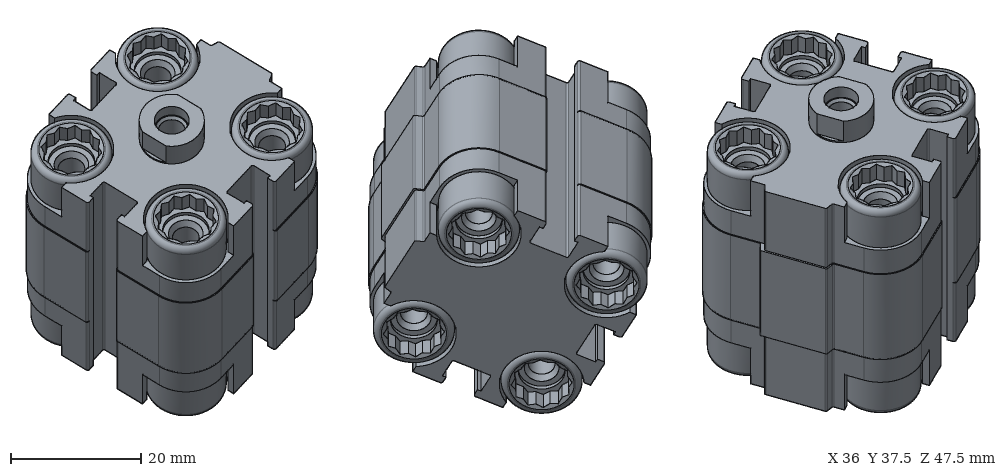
import cadquery as cq
import math

TOTAL_HEIGHT = 47.5
BODY_HEIGHT = 43.0
CAP_HEIGHT = 12.5
TUBE_HEIGHT = BODY_HEIGHT - 2 * CAP_HEIGHT
TUBE_HALF_WIDTH = 18.0
CAP_INSET = 0.2
CAP_HALF_WIDTH = TUBE_HALF_WIDTH - CAP_INSET
CORNER_OFFSET = 11.0

RAIL_TIP_Y = 19.48
RAIL_ROOT_HALF_WIDTH = 6.05
RAIL_TIP_HALF_WIDTH = 5.55
RAIL_FILLET = 0.3
CAP_RAIL_TIP_INSET = 0.3
CAP_RAIL_NARROWING = 0.65

SLOT_OPENING = 5.4
SLOT_WIDTH = 6.65
SLOT_LIP_DEPTH = 16.45
SLOT_FLOOR_DEPTH = 13.0
SLOT_FLOOR_FILLET = 0.3
LIP_FILLET = 0.4

POCKET_DEPTH = 7.5
POCKET_EDGE = 7.8
POCKET_DIAMETER = 13.0
LUG_DIAMETER = 12.5
LUG_FILLET = 1.0

SOCKET_RIM_DIAMETER = 10.0
SOCKET_RIM_DEPTH = 0.35
SOCKET_ACROSS_FLATS = 8.1
SOCKET_DEPTH = 3.32
RECESS_DIAMETER = 7.2
RECESS_DEPTH = 4.05
SEAT_DIAMETER = 5.3
SEAT_ANGLE = 60.0
SCREW_HOLE_DIAMETER = 4.15

ROD_DIAMETER = 10.0
ROD_FLAT_WIDTH = 9.0
ROD_COLLAR_HEIGHT = 0.3
ROD_BOTTOM = BODY_HEIGHT - CAP_HEIGHT
ROD_COUNTERBORE_DIAMETER = 5.3
ROD_COUNTERBORE_DEPTH = 2.2
ROD_LEDGE_DIAMETER = 5.0
ROD_COUNTERSINK_ANGLE = 90.0
ROD_HOLE_DIAMETER = 4.15
ROD_HOLE_DEPTH = 10.92
DRILL_ANGLE = 118.0


def cone_height(large_diameter, small_diameter, included_angle):
    """Height of a cone frustum with the given included angle."""
    return (large_diameter - small_diameter) / 2 / math.tan(math.radians(included_angle / 2))


def revolved(points):
    """Solid of revolution about Z from (radius, height) points."""
    return cq.Workplane("XZ").polyline(points).close().revolve(360, (0, 0), (0, 1))


def at_corners(shape):
    """List of four copies of a shape made at the centre, one on each corner axis."""
    return [
        shape.translate((x, y, 0))
        for x in (-CORNER_OFFSET, CORNER_OFFSET)
        for y in (-CORNER_OFFSET, CORNER_OFFSET)
    ]


def at_both_ends(shapes):
    """Shapes made at the top end together with their mirror images at the bottom end."""
    return shapes + [shape.mirror("XY", (0, 0, BODY_HEIGHT / 2)) for shape in shapes]


def rounded_block(half_width, bottom, height):
    """Square prism whose corners are concentric with the corner axes."""
    block = cq.Workplane().workplane(offset=bottom).rect(2 * half_width, 2 * half_width).extrude(height)
    return block.edges("|Z").fillet(half_width - CORNER_OFFSET)


def railed_block(half_width, tip_y, left_inset, right_inset, bottom, height):
    """Rounded block with a trapezoidal rail on its +Y side, each flank moved in by its inset."""
    left_root = left_inset - RAIL_ROOT_HALF_WIDTH
    right_root = RAIL_ROOT_HALF_WIDTH - right_inset
    outline = [
        (left_root, SLOT_LIP_DEPTH),
        (left_root, half_width),
        (left_inset - RAIL_TIP_HALF_WIDTH, tip_y),
        (RAIL_TIP_HALF_WIDTH - right_inset, tip_y),
        (right_root, half_width),
        (right_root, SLOT_LIP_DEPTH),
    ]
    rail = cq.Workplane().workplane(offset=bottom).polyline(outline).close().extrude(height)
    rail = rail.faces(">Y").edges("|Z").fillet(RAIL_FILLET)
    block = rounded_block(half_width, bottom, height).union(rail)
    middle = bottom + height / 2
    for root in (left_root, right_root):
        root_corner = cq.selectors.NearestToPointSelector((root, half_width, middle))
        block = block.edges("|Z").edges(root_corner).fillet(RAIL_FILLET)
    return block


def tube_section():
    return railed_block(TUBE_HALF_WIDTH, RAIL_TIP_Y, 0, 0, CAP_HEIGHT, TUBE_HEIGHT)


def cap_section(bottom):
    tip_y = RAIL_TIP_Y - CAP_RAIL_TIP_INSET
    return railed_block(CAP_HALF_WIDTH, tip_y, CAP_INSET, CAP_RAIL_NARROWING, bottom, CAP_HEIGHT)


def slot_cutter(face_distance, bottom, height):
    """T-slot opening towards -Y, with rounded lips on the face at the given distance."""
    half_opening = SLOT_OPENING / 2
    half_mouth = half_opening + LIP_FILLET
    lip_start = LIP_FILLET - face_distance
    lip_arc = LIP_FILLET * (1 - math.sqrt(0.5))
    mouth = (
        cq.Workplane()
        .workplane(offset=bottom)
        .moveTo(-half_mouth, -face_distance)
        .lineTo(half_mouth, -face_distance)
        .threePointArc((half_opening + lip_arc, lip_arc - face_distance), (half_opening, lip_start))
        .lineTo(half_opening, -SLOT_LIP_DEPTH)
        .lineTo(-half_opening, -SLOT_LIP_DEPTH)
        .lineTo(-half_opening, lip_start)
        .threePointArc((-half_opening - lip_arc, lip_arc - face_distance), (-half_mouth, -face_distance))
        .close()
        .extrude(height)
    )
    channel = (
        cq.Workplane()
        .workplane(offset=bottom)
        .center(0, -(SLOT_LIP_DEPTH + SLOT_FLOOR_DEPTH) / 2)
        .rect(SLOT_WIDTH, SLOT_LIP_DEPTH - SLOT_FLOOR_DEPTH)
        .extrude(height)
        .faces(">Y")
        .edges("|Z")
        .fillet(SLOT_FLOOR_FILLET)
    )
    return mouth.union(channel)


def cut_slots(section, face_distance, bottom, height):
    """Cut one T-slot into the -X, -Y and +X sides of a section."""
    cutter = slot_cutter(face_distance, bottom, height)
    for angle in (-90, 0, 90):
        section = section.cut(cutter.rotate((0, 0, 0), (0, 0, 1), angle))
    return section


def lug_pockets():
    """Corner pockets of the top cap: an open square corner joined with a round clearance."""
    bottom = BODY_HEIGHT - POCKET_DEPTH
    reach = RAIL_TIP_Y - POCKET_EDGE
    square_centre = POCKET_EDGE + reach / 2
    pockets = []
    for angle in (0, 90, 180, 270):
        square = cq.Workplane().center(square_centre, square_centre).rect(reach, reach)
        clearance = cq.Workplane().center(CORNER_OFFSET, CORNER_OFFSET).circle(POCKET_DIAMETER / 2)
        pocket = square.extrude(POCKET_DEPTH).union(clearance.extrude(POCKET_DEPTH))
        pockets.append(pocket.rotate((0, 0, 0), (0, 0, 1), angle).translate((0, 0, bottom)))
    return pockets


def lugs():
    lug = cq.Workplane().circle(LUG_DIAMETER / 2).extrude(POCKET_DEPTH)
    lug = lug.faces(">Z").edges().fillet(LUG_FILLET)
    return at_corners(lug.translate((0, 0, BODY_HEIGHT - POCKET_DEPTH)))


def socket_cutter():
    """Twelve-point socket, round recess and conical seat, cut down from the top face."""
    hexagon_diameter = SOCKET_ACROSS_FLATS / math.cos(math.pi / 6)
    hexagon = cq.Workplane().polygon(6, hexagon_diameter).extrude(-SOCKET_DEPTH)
    star = hexagon.union(hexagon.rotate((0, 0, 0), (0, 0, 1), 30))
    rim = revolved([
        (0, 0),
        (SOCKET_RIM_DIAMETER / 2, 0),
        (SOCKET_ACROSS_FLATS / 2, -SOCKET_RIM_DEPTH),
        (0, -SOCKET_RIM_DEPTH),
    ])
    seat_bottom = -RECESS_DEPTH - cone_height(SEAT_DIAMETER, SCREW_HOLE_DIAMETER, SEAT_ANGLE)
    recess = revolved([
        (0, 0),
        (RECESS_DIAMETER / 2, 0),
        (RECESS_DIAMETER / 2, -RECESS_DEPTH),
        (SEAT_DIAMETER / 2, -RECESS_DEPTH),
        (SCREW_HOLE_DIAMETER / 2, seat_bottom),
        (0, seat_bottom),
    ])
    return star.union(rim).union(recess).translate((0, 0, BODY_HEIGHT))


def make_housing():
    housing = cut_slots(tube_section(), TUBE_HALF_WIDTH, CAP_HEIGHT, TUBE_HEIGHT)
    for bottom in (0, CAP_HEIGHT + TUBE_HEIGHT):
        housing = housing.union(cut_slots(cap_section(bottom), CAP_HALF_WIDTH, bottom, CAP_HEIGHT))

    for pocket in at_both_ends(lug_pockets()):
        housing = housing.cut(pocket)
    for lug in at_both_ends(lugs()):
        housing = housing.union(lug)
    for socket in at_both_ends(at_corners(socket_cutter())):
        housing = housing.cut(socket)

    screw_hole = cq.Workplane().circle(SCREW_HOLE_DIAMETER / 2).extrude(BODY_HEIGHT)
    for hole in at_corners(screw_hole):
        housing = housing.cut(hole)

    rod_bore = cq.Workplane().workplane(offset=ROD_BOTTOM).circle(ROD_DIAMETER / 2).extrude(CAP_HEIGHT)
    return housing.cut(rod_bore)


def rod_hole():
    """Stepped blind hole in the rod end, with a drill-point bottom."""
    countersink = cone_height(ROD_LEDGE_DIAMETER, ROD_HOLE_DIAMETER, ROD_COUNTERSINK_ANGLE)
    drill_point = cone_height(ROD_HOLE_DIAMETER, 0, DRILL_ANGLE)
    hole = revolved([
        (0, 0),
        (ROD_COUNTERBORE_DIAMETER / 2, 0),
        (ROD_COUNTERBORE_DIAMETER / 2, -ROD_COUNTERBORE_DEPTH),
        (ROD_LEDGE_DIAMETER / 2, -ROD_COUNTERBORE_DEPTH),
        (ROD_HOLE_DIAMETER / 2, -ROD_COUNTERBORE_DEPTH - countersink),
        (ROD_HOLE_DIAMETER / 2, -ROD_HOLE_DEPTH),
        (0, -ROD_HOLE_DEPTH - drill_point),
    ])
    return hole.translate((0, 0, TOTAL_HEIGHT))


def make_rod():
    flats_bottom = BODY_HEIGHT + ROD_COLLAR_HEIGHT
    rod_height = TOTAL_HEIGHT - ROD_BOTTOM
    rod = cq.Workplane().workplane(offset=ROD_BOTTOM).circle(ROD_DIAMETER / 2).extrude(rod_height)
    for side in (-1, 1):
        beyond_flat = (
            cq.Workplane()
            .workplane(offset=flats_bottom)
            .center(0, side * (ROD_FLAT_WIDTH + ROD_DIAMETER) / 2)
            .rect(ROD_DIAMETER, ROD_DIAMETER)
            .extrude(TOTAL_HEIGHT - flats_bottom)
        )
        rod = rod.cut(beyond_flat)
    return rod.cut(rod_hole())


housing = make_housing()
rod = make_rod()
result = cq.Compound.makeCompound([housing.solids().val(), rod.solids().val()])